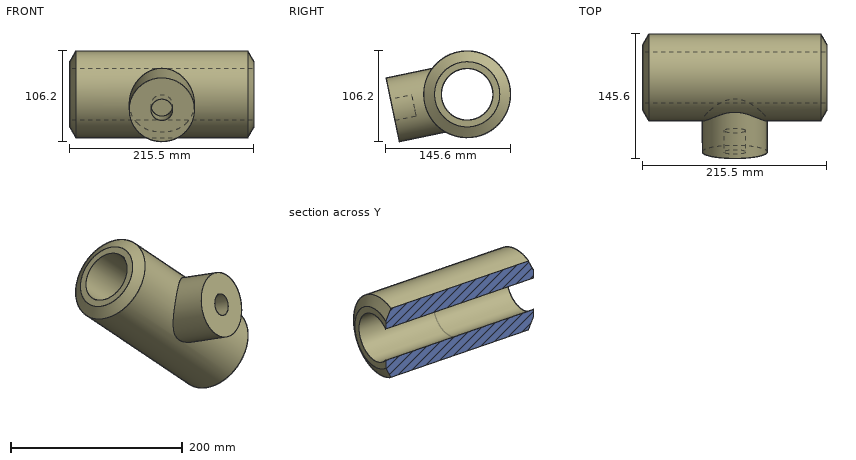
import cadquery as cq
import math

TUBE_LENGTH = 215.45
TUBE_DIAMETER = 101.6
BORE_DIAMETER = 60.0
END_FACE_DIAMETER = 76.2
BEVEL_ANGLE = 30.0

BRANCH_DIAMETER = 76.2
HOLE_DIAMETER = 25.4
HOLE_DEPTH = 25.4
BRANCH_REACH = 88.9
BRANCH_SLOPE = math.atan2(2.5, 12.0)

BEVEL_DEPTH = (TUBE_DIAMETER - END_FACE_DIAMETER) / 2
BEVEL_LENGTH = BEVEL_DEPTH * math.tan(math.radians(BEVEL_ANGLE))


def tube_body():
    """Solid tube with a bevelled rim at both ends."""
    half_length = TUBE_LENGTH / 2
    shoulder = half_length - BEVEL_LENGTH
    profile = (
        cq.Workplane("XY")
        .moveTo(-half_length, 0)
        .lineTo(-half_length, END_FACE_DIAMETER / 2)
        .lineTo(-shoulder, TUBE_DIAMETER / 2)
        .lineTo(shoulder, TUBE_DIAMETER / 2)
        .lineTo(half_length, END_FACE_DIAMETER / 2)
        .lineTo(half_length, 0)
        .close()
    )
    return profile.revolve(360, (0, 0, 0), (1, 0, 0))


def tube_bore():
    """Cutter running the full length of the tube."""
    return cq.Workplane("YZ").circle(BORE_DIAMETER / 2).extrude(TUBE_LENGTH / 2, both=True)


def branch_cylinder(diameter, start, end):
    """Cylinder on the branch axis, between two distances from the tube axis."""
    direction = cq.Vector(0, -math.cos(BRANCH_SLOPE), -math.sin(BRANCH_SLOPE))
    plane = cq.Plane(origin=direction * start, xDir=(1, 0, 0), normal=direction)
    return cq.Workplane(plane).circle(diameter / 2).extrude(end - start)


branch = branch_cylinder(BRANCH_DIAMETER, 0, BRANCH_REACH)
branch_hole = branch_cylinder(HOLE_DIAMETER, BRANCH_REACH - HOLE_DEPTH, BRANCH_REACH)

result = tube_body().union(branch).cut(tube_bore()).cut(branch_hole)